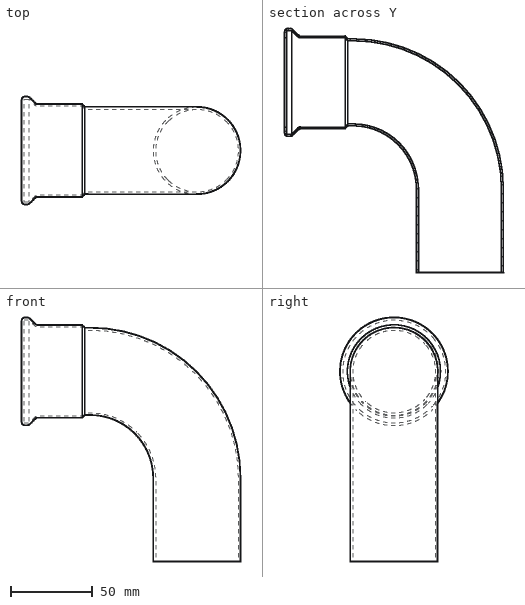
import cadquery as cq

overall_length = 133.69
socket_axis_height = 116.0

pipe_radius = 26.7
pipe_wall = 1.5
bore_radius = pipe_radius - pipe_wall
spigot_length = 51.0
bend_radius = socket_axis_height - spigot_length
spigot_axis_x = overall_length - pipe_radius
bend_start_x = spigot_axis_x - bend_radius

socket_radius = 28.4
socket_wall = 1.25
socket_bore_radius = socket_radius - socket_wall
socket_start_x = 9.6
socket_end_x = 37.0
shoulder_length = 1.7
neck_start_x = socket_end_x + shoulder_length

bead_radius = 33.0
bead_face_radius = 30.0
bead_crown_x = 3.0
bead_flank_x = 5.2
bead_flank_radius = 32.2
bead_root_x = 8.2
bead_root_radius = 29.3

mouth_radius = socket_bore_radius
bead_wall = 1.6
mouth_lip_depth = bead_wall
seal_groove_radius = bead_radius - bead_wall
groove_root_x = 7.5
groove_root_radius = 28.4
groove_end_x = groove_root_x - (seal_groove_radius - groove_root_radius)
socket_bore_start_x = 10.0

OUTWARD = (0, 1)
ALONG_AXIS = (1, 0)
FLANK_SLOPE = (1, -1)


def revolve_about_socket_axis(profile):
    """Revolve an (axial, radial) profile about the X axis and lift it to the socket axis."""
    solid = profile.close().revolve(360, (0, 0, 0), (1, 0, 0))
    return solid.translate((0, 0, socket_axis_height))


def make_pipe(radius):
    """Straight spigot followed by the quarter bend that turns into the socket neck."""
    spigot = cq.Workplane("XY").center(spigot_axis_x, 0).circle(radius).extrude(spigot_length)
    bend = (
        cq.Workplane("XY", origin=(spigot_axis_x, 0, spigot_length))
        .circle(radius)
        .revolve(90, (-bend_radius, 0, 0), (-bend_radius, -1, 0))
    )
    return spigot.union(bend, clean=False)


def make_socket_body():
    """Outside of the socket: rounded bead, conical flank, cylinder, shoulder and neck."""
    return revolve_about_socket_axis(
        cq.Workplane("XY")
        .moveTo(0, 0)
        .lineTo(0, bead_face_radius)
        .spline(
            [(bead_crown_x, bead_radius), (bead_flank_x, bead_flank_radius)],
            tangents=[OUTWARD, FLANK_SLOPE],
            includeCurrent=True,
        )
        .lineTo(bead_root_x, bead_root_radius)
        .spline(
            [(socket_start_x, socket_radius)],
            tangents=[FLANK_SLOPE, ALONG_AXIS],
            includeCurrent=True,
        )
        .lineTo(socket_end_x, socket_radius)
        .lineTo(neck_start_x, pipe_radius)
        .lineTo(bend_start_x, pipe_radius)
        .lineTo(bend_start_x, 0)
    )


def make_socket_cavity():
    """Inside of the socket: mouth lip, seal groove, socket bore, pipe stop and pipe bore."""
    return revolve_about_socket_axis(
        cq.Workplane("XY")
        .moveTo(0, 0)
        .lineTo(0, mouth_radius)
        .lineTo(mouth_lip_depth, mouth_radius)
        .lineTo(mouth_lip_depth, seal_groove_radius)
        .lineTo(groove_end_x, seal_groove_radius)
        .lineTo(groove_root_x, groove_root_radius)
        .spline(
            [(socket_bore_start_x, socket_bore_radius)],
            tangents=[FLANK_SLOPE, ALONG_AXIS],
            includeCurrent=True,
        )
        .lineTo(socket_end_x, socket_bore_radius)
        .lineTo(neck_start_x, bore_radius)
        .lineTo(bend_start_x, bore_radius)
        .lineTo(bend_start_x, 0)
    )


outside = make_pipe(pipe_radius).union(make_socket_body(), clean=False)
result = outside.cut(make_pipe(bore_radius)).cut(make_socket_cavity())